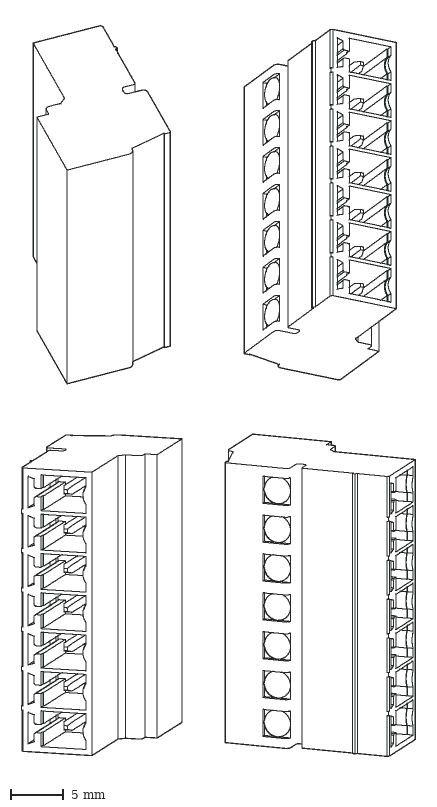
import cadquery as cq
import math

POLE_COUNT = 7
PITCH = 3.81
HEIGHT = 27.46
FIRST_POLE_Z = (HEIGHT - (POLE_COUNT - 1) * PITCH) / 2

LENGTH = 17.9
WIDTH = 11.1
NOSE_LENGTH = 8.9
BLOCK_START = 9.9
NOSE_FRONT_Y = 3.4
NOSE_BACK_Y = 10.42
SHOULDER_CHAMFER = 0.58
SHOULDER_Y = 1.2
SHOULDER_RADIUS = 0.38
GROOVE_FLOOR_Y = 8.97
GROOVE_RADIUS = 0.3
NOSE_REAR_RADIUS = 0.15
BLOCK_RADIUS = 0.45
MOUTH_CHAMFER = 0.19
LIP_X = 16.45
LIP_RADIUS = 0.12
LIP_BOTTOM_Y = 10.48
SLOPE_TOP_X = 16.33
SLOPE_END = (17.24, 6.83)
REAR_CORNER_Y = 6.28
REAR_CORNER_RADIUS = 0.6

RIDGE_START = 3.2
RIDGE_END = 3.6
RIDGE_HEIGHT = 0.19
RIDGE_RAMP = 0.17

NUB_HEIGHT = 0.42

POCKET_DEPTH = 7.5
POCKET_HEIGHT = 3.46
POCKET_FRONT_Y = 4.08
POCKET_BACK_Y = 8.38
MOUTH_STEP = 0.09
MOUTH_STEP_DEPTH = 0.6
RIB_WIDTH = 1.7
RIB_RISE = 0.3
NECK_HEIGHT = 0.8
NECK_CHAMFER = 0.12
KEYWAY_DEPTH = 7.0
KEYWAY_INNER_Y = 9.13
KEYWAY_OUTER_Y = 9.76
KEYWAY_INNER_HEIGHT = 2.6
KEYWAY_OUTER_HEIGHT = 3.05

PIN_Y = 6.41
PIN_SIZE = 0.8
PIN_TIP_SIZE = 0.35
PIN_TIP_X = 1.3
PIN_TAPER_LENGTH = 0.8
SEAT_DIAMETER = 1.56
SEAT_DEPTH = 0.3

BUTTON_DIAMETER = 2.65
BUTTON_FLOOR_Y = 10.7
BUTTON_TOP_Y = 11.05
BUTTON_ROUND = 0.34


def pole_heights():
    return [FIRST_POLE_Z + index * PITCH for index in range(POLE_COUNT)]


def prism(wire, start_x, end_x):
    """Extrude a YZ-plane outline along X, from start_x to end_x."""
    return wire.extrude(end_x - start_x).translate((start_x, 0, 0))


def box(x_range, y_range, z_range):
    size = [high - low for low, high in (x_range, y_range, z_range)]
    corner = (x_range[0], y_range[0], z_range[0])
    return cq.Workplane("XY").box(*size, centered=False).translate(corner)


def make_housing():
    diagonal = math.sqrt(0.5)
    bulge = 1 - diagonal
    arc_center_x = LENGTH - REAR_CORNER_RADIUS
    arc_angle = math.radians(45)
    rear_mid = (
        arc_center_x + REAR_CORNER_RADIUS * math.cos(arc_angle),
        REAR_CORNER_Y + REAR_CORNER_RADIUS * math.sin(arc_angle),
    )
    shoulder_mid = (
        NOSE_LENGTH + SHOULDER_RADIUS * bulge,
        SHOULDER_Y + SHOULDER_RADIUS * bulge,
    )
    housing = (
        cq.Workplane("XY")
        .moveTo(0, NOSE_FRONT_Y)
        .lineTo(NOSE_LENGTH - SHOULDER_CHAMFER, NOSE_FRONT_Y)
        .lineTo(NOSE_LENGTH, NOSE_FRONT_Y - SHOULDER_CHAMFER)
        .lineTo(NOSE_LENGTH, SHOULDER_Y + SHOULDER_RADIUS)
        .threePointArc(shoulder_mid, (NOSE_LENGTH + SHOULDER_RADIUS, SHOULDER_Y))
        .lineTo(BLOCK_START, SHOULDER_Y)
        .lineTo(BLOCK_START, 0)
        .lineTo(LENGTH, 0)
        .lineTo(LENGTH, REAR_CORNER_Y)
        .threePointArc(rear_mid, SLOPE_END)
        .lineTo(SLOPE_TOP_X, LIP_BOTTOM_Y)
        .lineTo(LIP_X, LIP_BOTTOM_Y)
        .lineTo(LIP_X, WIDTH)
        .lineTo(BLOCK_START, WIDTH)
        .lineTo(BLOCK_START, GROOVE_FLOOR_Y)
        .lineTo(NOSE_LENGTH, GROOVE_FLOOR_Y)
        .lineTo(NOSE_LENGTH, NOSE_BACK_Y)
        .lineTo(0, NOSE_BACK_Y)
        .close()
        .extrude(HEIGHT)
    )
    rounded_corners = [
        (LIP_X, WIDTH, LIP_RADIUS),
        (BLOCK_START, WIDTH, BLOCK_RADIUS),
        (BLOCK_START, GROOVE_FLOOR_Y, GROOVE_RADIUS),
        (NOSE_LENGTH, GROOVE_FLOOR_Y, GROOVE_RADIUS),
        (NOSE_LENGTH, NOSE_BACK_Y, NOSE_REAR_RADIUS),
    ]
    for x, y, radius in rounded_corners:
        edge = cq.selectors.NearestToPointSelector((x, y, HEIGHT / 2))
        housing = housing.edges("|Z").edges(edge).fillet(radius)
    return housing


def make_mouth_chamfer():
    """Corner strip removed along the mouth, left whole at each wall between poles."""
    strip = (
        cq.Workplane("XY")
        .moveTo(0, NOSE_BACK_Y)
        .lineTo(MOUTH_CHAMFER, NOSE_BACK_Y)
        .lineTo(0, NOSE_BACK_Y - MOUTH_CHAMFER)
        .close()
        .extrude(HEIGHT)
    )
    for z in pole_heights()[:-1]:
        nub_bottom = z + PITCH / 2 - NUB_HEIGHT / 2
        nub = box(
            (0, MOUTH_CHAMFER),
            (NOSE_BACK_Y - MOUTH_CHAMFER, NOSE_BACK_Y),
            (nub_bottom, nub_bottom + NUB_HEIGHT),
        )
        strip = strip.cut(nub)
    return strip


def make_snap_ridge():
    return (
        cq.Workplane("XY")
        .moveTo(RIDGE_START, NOSE_BACK_Y)
        .lineTo(RIDGE_START + RIDGE_RAMP, NOSE_BACK_Y + RIDGE_HEIGHT)
        .lineTo(RIDGE_END, NOSE_BACK_Y + RIDGE_HEIGHT)
        .lineTo(RIDGE_END, NOSE_BACK_Y)
        .close()
        .extrude(HEIGHT)
    )


def ribbed_opening(front_y, back_y, start_x, end_x):
    """Pocket section whose front wall carries a rounded rib, centred on Z = 0."""
    half = POCKET_HEIGHT / 2
    outline = (
        cq.Workplane("YZ")
        .moveTo(front_y, -half)
        .lineTo(front_y, -RIB_WIDTH / 2)
        .threePointArc((front_y + RIB_RISE, 0), (front_y, RIB_WIDTH / 2))
        .lineTo(front_y, half)
        .lineTo(back_y, half)
        .lineTo(back_y, -half)
        .close()
    )
    return prism(outline, start_x, end_x)


def make_pocket():
    """Pocket with its stepped mouth, neck, keyway and pin seat, centred on Z = 0."""
    pocket = ribbed_opening(POCKET_FRONT_Y, POCKET_BACK_Y, 0, POCKET_DEPTH)
    mouth = ribbed_opening(
        POCKET_FRONT_Y - MOUTH_STEP, POCKET_BACK_Y + MOUTH_STEP, 0, MOUTH_STEP_DEPTH
    )
    half_neck = NECK_HEIGHT / 2
    neck_outline = cq.Workplane("YZ").polyline([
        (POCKET_BACK_Y, -half_neck),
        (KEYWAY_INNER_Y - NECK_CHAMFER, -half_neck),
        (KEYWAY_INNER_Y, -half_neck - NECK_CHAMFER),
        (KEYWAY_INNER_Y, half_neck + NECK_CHAMFER),
        (KEYWAY_INNER_Y - NECK_CHAMFER, half_neck),
        (POCKET_BACK_Y, half_neck),
    ]).close()
    neck = prism(neck_outline, 0, POCKET_DEPTH)
    keyway_outline = cq.Workplane("YZ").polyline([
        (KEYWAY_INNER_Y, -KEYWAY_INNER_HEIGHT / 2),
        (KEYWAY_OUTER_Y, -KEYWAY_OUTER_HEIGHT / 2),
        (KEYWAY_OUTER_Y, KEYWAY_OUTER_HEIGHT / 2),
        (KEYWAY_INNER_Y, KEYWAY_INNER_HEIGHT / 2),
    ]).close()
    keyway = prism(keyway_outline, 0, KEYWAY_DEPTH)
    seat_outline = cq.Workplane("YZ").center(PIN_Y, 0).circle(SEAT_DIAMETER / 2)
    seat = prism(seat_outline, POCKET_DEPTH, POCKET_DEPTH + SEAT_DEPTH)
    return pocket.union(mouth).union(neck).union(keyway).union(seat)


def make_pin():
    """Square pin with a tapered tip, rooted behind the pin seat, centred on Z = 0."""
    shank_start = PIN_TIP_X + PIN_TAPER_LENGTH
    shank_outline = cq.Workplane("YZ").center(PIN_Y, 0).rect(PIN_SIZE, PIN_SIZE)
    shank = prism(shank_outline, shank_start, POCKET_DEPTH + 2 * SEAT_DEPTH)
    tip = (
        cq.Workplane("YZ", origin=(PIN_TIP_X, PIN_Y, 0))
        .rect(PIN_TIP_SIZE, PIN_TIP_SIZE)
        .workplane(offset=PIN_TAPER_LENGTH)
        .rect(PIN_SIZE, PIN_SIZE)
        .loft(ruled=True)
    )
    return shank.union(tip)


def make_button_recess():
    """Rectangular recess around one button, open towards the groove."""
    return box(
        (BLOCK_START, BLOCK_START + BUTTON_DIAMETER),
        (BUTTON_FLOOR_Y, WIDTH),
        (-BUTTON_DIAMETER / 2, BUTTON_DIAMETER / 2),
    )


def make_button():
    """Round button with a rolled rim, standing on the recess floor."""
    center_x = BLOCK_START + BUTTON_DIAMETER / 2
    return (
        cq.Workplane("XZ", origin=(center_x, BUTTON_FLOOR_Y, 0))
        .circle(BUTTON_DIAMETER / 2)
        .extrude(BUTTON_FLOOR_Y - BUTTON_TOP_Y)
        .faces(">Y")
        .edges()
        .fillet(BUTTON_ROUND)
    )


def make_connector():
    body = make_housing().union(make_snap_ridge()).cut(make_mouth_chamfer())
    pocket = make_pocket()
    pin = make_pin()
    recess = make_button_recess()
    button = make_button()
    for z in pole_heights():
        offset = (0, 0, z)
        body = body.cut(pocket.translate(offset)).cut(recess.translate(offset))
        body = body.union(pin.translate(offset)).union(button.translate(offset))
    return body


result = make_connector()